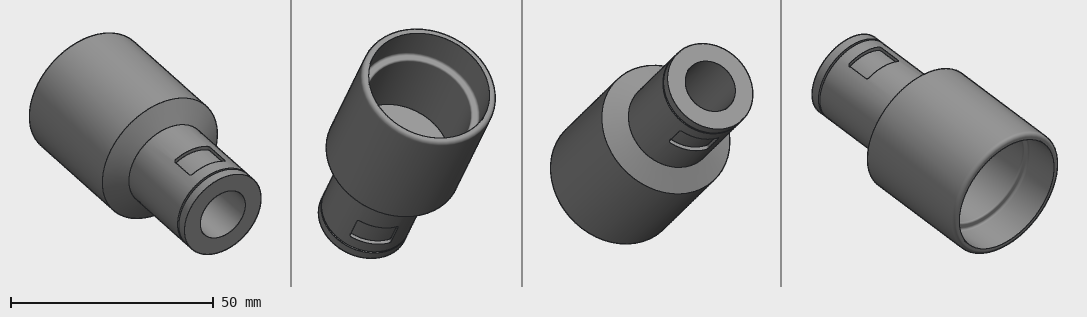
import cadquery as cq

length = 60.0
body_diameter = 34.5
neck_diameter = 23.0
body_end = 32.6
neck_start = 35.75
mouth_radius = 1.0

mouth_diameter = 31.0
mouth_depth = 9.3
chamber_diameter = 27.0
chamber_depth = 28.8
through_diameter = 13.5
step_inner_radius = 0.6
step_outer_radius = 0.5

groove_diameter = 18.5
groove_start = 57.0
groove_width = 0.55

pocket_start = 46.3
pocket_length = 7.25
pocket_width = 10.5
pocket_corner_radius = 0.55
pocket_floor_diameter = 21.0


def cylinder(diameter, start, depth):
    """Solid cylinder along +X starting at the given X."""
    return cq.Workplane("YZ", origin=(start, 0, 0)).circle(diameter / 2).extrude(depth)


def outer_body():
    """Body, cone and neck as one revolved outline with a rounded rim."""
    body_radius = body_diameter / 2
    neck_radius = neck_diameter / 2
    return (
        cq.Workplane("XY")
        .lineTo(0, body_radius - mouth_radius)
        .radiusArc((mouth_radius, body_radius), mouth_radius)
        .lineTo(body_end, body_radius)
        .lineTo(neck_start, neck_radius)
        .lineTo(length, neck_radius)
        .lineTo(length, 0)
        .close()
        .revolve(360, (0, 0, 0), (1, 0, 0))
    )


def bore():
    """Stepped cavity, including both roundings of its step."""
    mouth_wall = mouth_diameter / 2
    chamber_wall = chamber_diameter / 2
    through_wall = through_diameter / 2
    return (
        cq.Workplane("XY")
        .lineTo(0, mouth_wall)
        .lineTo(mouth_depth - step_inner_radius, mouth_wall)
        .radiusArc((mouth_depth, mouth_wall - step_inner_radius), step_inner_radius)
        .lineTo(mouth_depth, chamber_wall + step_outer_radius)
        .radiusArc((mouth_depth + step_outer_radius, chamber_wall), -step_outer_radius)
        .lineTo(chamber_depth, chamber_wall)
        .lineTo(chamber_depth, through_wall)
        .lineTo(length, through_wall)
        .lineTo(length, 0)
        .close()
        .revolve(360, (0, 0, 0), (1, 0, 0))
    )


def ring_groove():
    """Narrow groove around the end of the neck."""
    outside = cylinder(body_diameter, groove_start, groove_width)
    return outside.cut(cylinder(groove_diameter, groove_start, groove_width))


def wrench_pocket(side):
    """Shallow pocket with rounded corners and a curved floor; side is +1 for the top, -1 for the bottom."""
    pocket_middle = pocket_start + pocket_length / 2
    block = (
        cq.Workplane("XY", origin=(pocket_middle, 0, 0))
        .rect(pocket_length, pocket_width)
        .extrude(side * neck_diameter)
        .edges("|Z")
        .fillet(pocket_corner_radius)
    )
    return block.cut(cylinder(pocket_floor_diameter, pocket_start, pocket_length))


result = outer_body().cut(bore()).cut(ring_groove())
for side in (1, -1):
    result = result.cut(wrench_pocket(side))